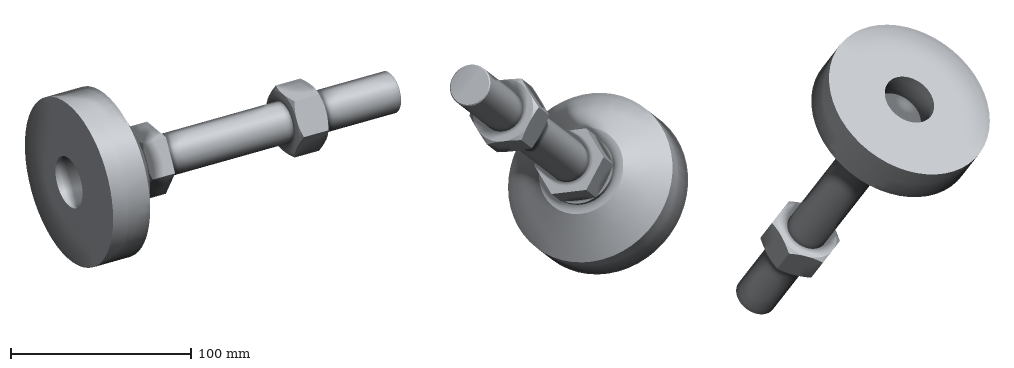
import cadquery as cq
import math

total_length = 206.0

foot_diameter = 98.0
pad_thickness = 9.9
foot_rim_height = 13.8
foot_cone_height = 13.8
foot_top_diameter = 50.3
bore_diameter = 30.0
bore_depth = 17.5
hub_diameter = foot_top_diameter
foot_shoulder_y = pad_thickness + foot_rim_height
foot_top_y = foot_shoulder_y + foot_cone_height

rod_diameter = 24.0
rod_tip_chamfer = 0.6
spigot_diameter = 21.0

across_flats = 35.8
across_corners = across_flats / math.cos(math.radians(30))
corner_chamfer_angle = 30.0
collar_diameter = 39.5
collar_height = 2.5
base_nut_height = 16.0
lock_nut_height = 19.0
lock_nut_bottom_y = 136.8
base_nut_bottom_y = foot_top_y + collar_height
base_nut_top_y = base_nut_bottom_y + base_nut_height


def cylinder(diameter, bottom_y, top_y):
    """Cylinder on the Y axis between two heights."""
    return (
        cq.Workplane("XZ", origin=(0, bottom_y, 0))
        .circle(diameter / 2)
        .extrude(bottom_y - top_y)
    )


def revolved(profile):
    """Solid of revolution about Y from (radius, y) points."""
    return cq.Workplane("XY").polyline(profile).close().revolve(360, (0, 0), (0, 1))


def make_pad():
    """Flat disc under the foot, with a hub set into the foot and a bore through both."""
    disc = cylinder(foot_diameter, 0, pad_thickness)
    hub = cylinder(hub_diameter, pad_thickness, bore_depth)
    return disc.union(hub).cut(cylinder(bore_diameter, 0, bore_depth))


def make_foot():
    """Conical foot with a recess for the pad hub below and a spigot hole above."""
    body = revolved([
        (0, pad_thickness),
        (foot_diameter / 2, pad_thickness),
        (foot_diameter / 2, foot_shoulder_y),
        (foot_top_diameter / 2, foot_top_y),
        (0, foot_top_y),
    ])
    hub_recess = cylinder(hub_diameter, pad_thickness, bore_depth)
    spigot_hole = cylinder(spigot_diameter, bore_depth, foot_top_y)
    return body.cut(hub_recess).cut(spigot_hole)


def make_spindle():
    """Rod with a chamfered tip and a thinner spigot through the foot."""
    rod = cylinder(rod_diameter, foot_top_y, total_length).faces(">Y").chamfer(rod_tip_chamfer)
    return rod.union(cylinder(spigot_diameter, bore_depth, foot_top_y))


def make_hexagon(bottom_y, height, chamfer_top):
    """Hexagon with corners on X, its lower and optionally upper corners chamfered."""
    top_y = bottom_y + height
    hexagon = (
        cq.Workplane("XZ", origin=(0, bottom_y, 0))
        .polygon(6, across_corners)
        .extrude(-height)
    )
    flat_radius = across_flats / 2
    corner_radius = across_corners / 2
    chamfer_height = (corner_radius - flat_radius) * math.tan(math.radians(corner_chamfer_angle))
    profile = [
        (0, bottom_y),
        (flat_radius, bottom_y),
        (corner_radius, bottom_y + chamfer_height),
    ]
    if chamfer_top:
        profile += [(corner_radius, top_y - chamfer_height), (flat_radius, top_y)]
    else:
        profile += [(corner_radius, top_y)]
    profile += [(0, top_y)]
    return hexagon.intersect(revolved(profile))


def make_base_nut():
    """Nut seated on the foot by a round collar."""
    hexagon = make_hexagon(base_nut_bottom_y, base_nut_height, chamfer_top=False)
    collar = cylinder(collar_diameter, foot_top_y, base_nut_bottom_y)
    return hexagon.union(collar).cut(cylinder(rod_diameter, foot_top_y, base_nut_top_y))


def make_lock_nut():
    """Free nut part-way up the spindle, chamfered on both ends."""
    hexagon = make_hexagon(lock_nut_bottom_y, lock_nut_height, chamfer_top=True)
    return hexagon.cut(cylinder(rod_diameter, lock_nut_bottom_y, lock_nut_bottom_y + lock_nut_height))


pad = make_pad()
foot = make_foot()
spindle = make_spindle()
base_nut = make_base_nut()
lock_nut = make_lock_nut()

result = cq.Compound.makeCompound([
    pad.val(),
    foot.val(),
    spindle.val(),
    base_nut.val(),
    lock_nut.val(),
])